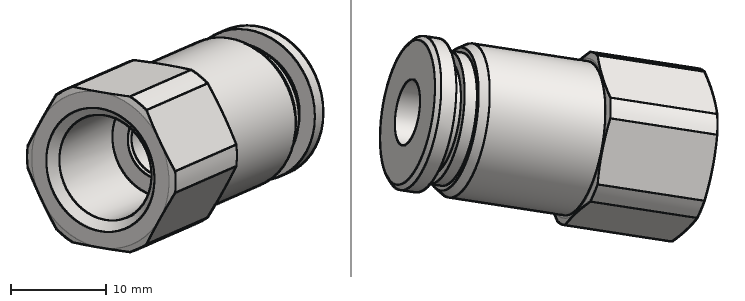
import cadquery as cq
import math

length = 31.6

hex_flats = 17.0
hex_corner_diameter = 18.42
hex_length = 12.5
hex_bevel_angle = 15.0

body_diameter = 16.4
body_end_gap = 5.0
body_bevel_length = 1.0
body_bevel_depth = 0.6

ring_diameter = 14.2
ring_length = 1.4
neck_diameter = 12.1
flange_thickness = 2.2
flange_bevel = 0.5
flare_diameter = 12.65
flare_length = 0.3

thread_diameter = 11.4
thread_depth = 11.5
countersink_diameter = 13.4
hole_diameter = 7.0
hole_bevel = 0.3

front_y = -length / 2
back_y = length / 2
hex_end_y = front_y + hex_length
body_end_y = back_y - body_end_gap
ring_end_y = body_end_y + ring_length
body_start_y = front_y + hex_length / 2
flange_y = back_y - flange_thickness
thread_end_y = front_y + thread_depth


def revolve_about_y(half_profile):
    """Turn a closed profile in the XY plane into a solid about the Y axis."""
    return half_profile.close().revolve(360, (0, 0, 0), (0, 1, 0))


def make_hexagon():
    """Hexagonal prism with rounded corners and bevelled ends."""
    prism = (
        cq.Workplane("XZ", origin=(0, hex_end_y, 0))
        .polygon(6, hex_flats / math.cos(math.radians(30)))
        .extrude(hex_length)
    )
    flat_radius = hex_flats / 2
    corner_radius = hex_corner_diameter / 2
    bevel_length = (corner_radius - flat_radius) * math.tan(math.radians(hex_bevel_angle))
    envelope = revolve_about_y(
        cq.Workplane("XY")
        .moveTo(0, front_y)
        .lineTo(flat_radius, front_y)
        .lineTo(corner_radius, front_y + bevel_length)
        .lineTo(corner_radius, hex_end_y - bevel_length)
        .lineTo(flat_radius, hex_end_y)
        .lineTo(0, hex_end_y)
    )
    return prism.intersect(envelope)


def make_body_and_sleeve():
    """Turned body with the ring, neck and flange of the release sleeve."""
    body_radius = body_diameter / 2
    return revolve_about_y(
        cq.Workplane("XY")
        .moveTo(0, body_start_y)
        .lineTo(0, back_y)
        .lineTo(body_radius - flange_bevel, back_y)
        .lineTo(body_radius, back_y - flange_bevel)
        .lineTo(body_radius, flange_y)
        .lineTo(flare_diameter / 2, flange_y)
        .lineTo(neck_diameter / 2, flange_y - flare_length)
        .lineTo(neck_diameter / 2, ring_end_y)
        .lineTo(ring_diameter / 2, ring_end_y)
        .lineTo(ring_diameter / 2, body_end_y)
        .lineTo(body_radius - body_bevel_depth, body_end_y)
        .lineTo(body_radius, body_end_y - body_bevel_length)
        .lineTo(body_radius, body_start_y)
    )


def make_bore():
    """Countersunk thread bore that steps down to a bevelled through hole."""
    thread_radius = thread_diameter / 2
    countersink_radius = countersink_diameter / 2
    hole_radius = hole_diameter / 2
    countersink_depth = countersink_radius - thread_radius
    return revolve_about_y(
        cq.Workplane("XY")
        .moveTo(0, front_y)
        .lineTo(countersink_radius, front_y)
        .lineTo(thread_radius, front_y + countersink_depth)
        .lineTo(thread_radius, thread_end_y)
        .lineTo(hole_radius + hole_bevel, thread_end_y)
        .lineTo(hole_radius, thread_end_y + hole_bevel)
        .lineTo(hole_radius, back_y)
        .lineTo(0, back_y)
    )


result = make_hexagon().union(make_body_and_sleeve()).cut(make_bore())